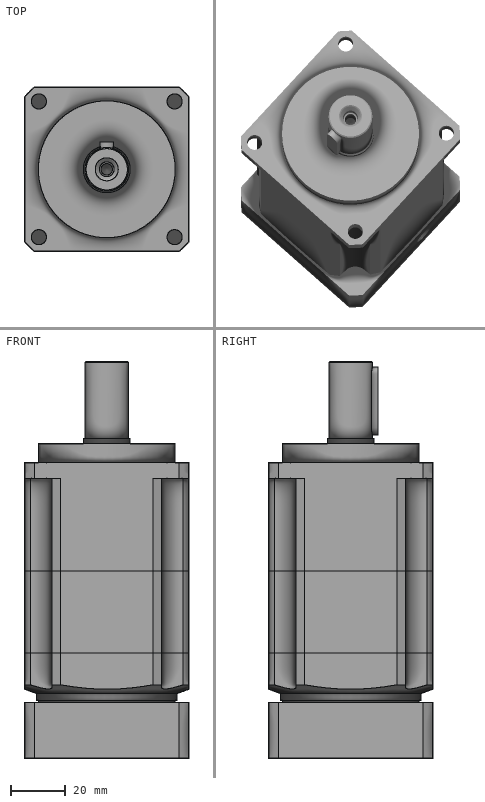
import cadquery as cq
import math

width = 60.0
half_width = width / 2
corner_diameter = 80.0

total_height = 145.0
adapter_height = 20.5
cone_mid_height = 25.2
ring_bottom = 38.4
ring_top = 68.5

flange_thickness = 5.8
pilot_diameter = 50.0
pilot_height = 7.0
mount_hole_diameter = 5.5
mount_hole_offset = 24.8

channel_wall = 20.0
facet_start = 17.0
facet_end = 27.8
channel_radius = mount_hole_offset - channel_wall

cone_angle = 20.0
neck_diameter = 51.5
spigot_diameter = 50.0
spigot_height = 0.7

shaft_diameter = 16.0
shaft_length = 30.0
shaft_chamfer = 0.5
collar_diameter = 17.1
collar_height = 1.9

mouth_diameter = 8.4
seat_diameter = 7.5
relief_diameter = 5.4
drill_diameter = 4.2
mouth_depth = 0.5
seat_depth = 2.5
relief_depth = 5.5
drill_depth = 12.5
drill_tip_angle = 118.0

key_width = 5.0
key_depth = 5.0
key_length = 25.0
key_top_gap = 2.0
key_outer_radius = 10.0

access_y = -6.5
access_z = 10.6
access_diameter = 6.7
access_depth = 3.2
screw_bore_diameter = 6.2
screw_bore_depth = 5.8
screw_bore_rise = 0.1
socket_diameter = 3.2
socket_depth = 2.0

pilot_top = total_height - shaft_length
flange_top = pilot_top - pilot_height
flange_bottom = flange_top - flange_thickness


def turned_square(bottom, top):
    """Square block whose vertical corners are turned to a cylinder."""
    height = top - bottom
    block = cq.Workplane("XY").workplane(offset=bottom).rect(width, width).extrude(height)
    blank = cq.Workplane("XY").workplane(offset=bottom).circle(corner_diameter / 2).extrude(height)
    return block.intersect(blank)


def channel_profile():
    """Closed outline cut from the +X +Y corner to leave a rounded channel with bevelled lips."""
    arc_middle = mount_hole_offset - channel_radius * math.sqrt(0.5)
    return (
        cq.Workplane("XY")
        .moveTo(facet_start, half_width)
        .lineTo(channel_wall, facet_end)
        .lineTo(channel_wall, mount_hole_offset)
        .threePointArc((arc_middle, arc_middle), (mount_hole_offset, channel_wall))
        .lineTo(facet_end, channel_wall)
        .lineTo(half_width, facet_start)
        .lineTo(half_width, half_width)
        .close()
    )


def gearbox_section(bottom, top):
    """Square column with a bolt channel along each corner."""
    height = top - bottom
    column = cq.Workplane("XY").rect(width, width).extrude(height)
    channel = channel_profile().extrude(height)
    for corner in range(4):
        column = column.cut(channel.rotate((0, 0, 0), (0, 0, 1), 90 * corner))
    return column.translate((0, 0, bottom))


def make_front_housing():
    """Channelled column with the mounting flange and the pilot boss."""
    housing = gearbox_section(ring_top, flange_bottom)
    housing = housing.union(turned_square(flange_bottom, flange_top))
    pilot = cq.Workplane("XY").workplane(offset=flange_top).circle(pilot_diameter / 2).extrude(pilot_height)
    mount_holes = (
        cq.Workplane("XY")
        .workplane(offset=flange_bottom)
        .rect(2 * mount_hole_offset, 2 * mount_hole_offset, forConstruction=True)
        .vertices()
        .circle(mount_hole_diameter / 2)
        .extrude(flange_thickness)
    )
    return housing.union(pilot).cut(mount_holes)


def make_ring_gear():
    """Middle section of the channelled column."""
    return gearbox_section(ring_bottom, ring_top)


def make_rear_housing():
    """Channelled column whose lower end is turned to a cone above a stepped neck."""
    neck_radius = neck_diameter / 2
    outer_radius = corner_diameter / 2
    slope = math.tan(math.radians(cone_angle))
    cone_bottom = cone_mid_height - (half_width - neck_radius) * slope
    cone_top = cone_mid_height + (outer_radius - half_width) * slope
    turned_envelope = (
        cq.Workplane("XZ")
        .moveTo(0, cone_bottom)
        .lineTo(neck_radius, cone_bottom)
        .lineTo(outer_radius, cone_top)
        .lineTo(outer_radius, ring_bottom)
        .lineTo(0, ring_bottom)
        .close()
        .revolve(360, (0, 0, 0), (0, 1, 0))
    )
    neck_bottom = adapter_height + spigot_height
    neck = (
        cq.Workplane("XY")
        .workplane(offset=neck_bottom)
        .circle(neck_radius)
        .extrude(cone_bottom - neck_bottom)
    )
    spigot = (
        cq.Workplane("XY")
        .workplane(offset=adapter_height)
        .circle(spigot_diameter / 2)
        .extrude(spigot_height)
    )
    column = gearbox_section(cone_bottom, ring_bottom)
    return column.intersect(turned_envelope).union(neck).union(spigot)


def make_adapter():
    """Motor adapter block with a stepped clamp screw access hole."""
    adapter = turned_square(0, adapter_height)
    inner_z = access_z + screw_bore_rise
    bore_start = access_depth
    socket_start = bore_start + screw_bore_depth
    steps = [
        (access_diameter, access_z, 0, access_depth),
        (screw_bore_diameter, inner_z, bore_start, screw_bore_depth),
        (socket_diameter, inner_z, socket_start, socket_depth),
    ]
    for diameter, height, start, depth in steps:
        bore = (
            cq.Workplane("YZ")
            .workplane(offset=start - half_width)
            .center(access_y, height)
            .circle(diameter / 2)
            .extrude(depth)
        )
        adapter = adapter.cut(bore)
    return adapter


def make_key():
    """Parallel key with fully rounded ends."""
    key_center = total_height - key_top_gap - key_length / 2
    return (
        cq.Workplane("XZ", origin=(0, key_outer_radius, key_center))
        .slot2D(key_length, key_width, 90)
        .extrude(key_depth)
    )


def make_center_hole():
    """Revolved tool: protecting chamfer, tapered seat, relief and drill with its tip."""
    drill_radius = drill_diameter / 2
    tip_height = drill_radius / math.tan(math.radians(drill_tip_angle / 2))
    return (
        cq.Workplane("XZ")
        .moveTo(0, total_height)
        .lineTo(mouth_diameter / 2, total_height)
        .lineTo(seat_diameter / 2, total_height - mouth_depth)
        .lineTo(relief_diameter / 2, total_height - seat_depth)
        .lineTo(relief_diameter / 2, total_height - relief_depth)
        .lineTo(drill_radius, total_height - relief_depth)
        .lineTo(drill_radius, total_height - drill_depth)
        .lineTo(0, total_height - drill_depth - tip_height)
        .close()
        .revolve(360, (0, 0, 0), (0, 1, 0))
    )


def make_shaft():
    """Output shaft with collar, chamfered end, centre hole and keyway."""
    collar = cq.Workplane("XY").workplane(offset=pilot_top).circle(collar_diameter / 2).extrude(collar_height)
    journal = (
        cq.Workplane("XY")
        .workplane(offset=pilot_top)
        .circle(shaft_diameter / 2)
        .extrude(shaft_length)
        .faces(">Z")
        .chamfer(shaft_chamfer)
    )
    return journal.union(collar).cut(make_center_hole()).cut(make_key())


front_housing = make_front_housing()
ring_gear = make_ring_gear()
rear_housing = make_rear_housing()
adapter = make_adapter()
shaft = make_shaft()
key = make_key()

result = cq.Compound.makeCompound([
    front_housing.val(),
    ring_gear.val(),
    rear_housing.val(),
    adapter.val(),
    shaft.val(),
    key.val(),
])